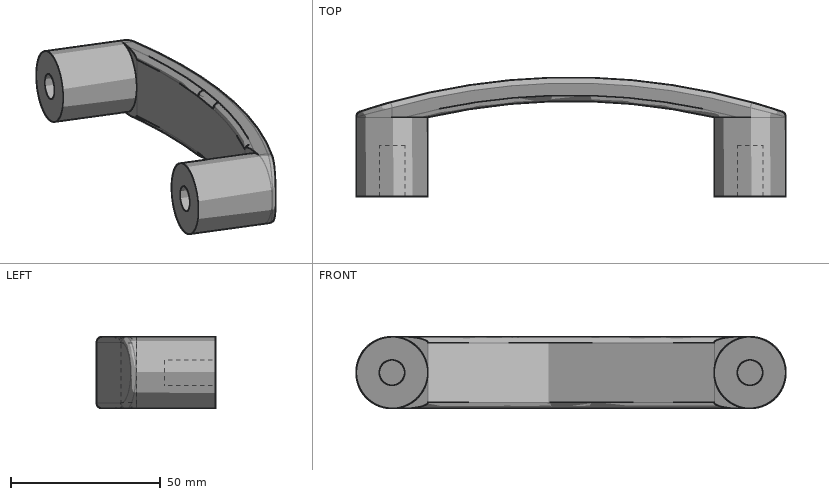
import cadquery as cq
import math

length = 144.0
depth = 40.0
width = 24.0
crown_radius = 223.2
bar_thickness = 8.0
edge_radius = 1.9
grip_edge_radius = 2.0
hole_diameter = 8.5
hole_depth = 17.3

post_radius = width / 2
post_x = length / 2 - post_radius
grip_half_length = post_x - post_radius
arc_center_y = depth - crown_radius
grip_radius = crown_radius - bar_thickness


def arc_y(radius, x):
    """Height of a bow arc above the mounting face at a given x."""
    return arc_center_y + math.sqrt(radius**2 - x**2)


def make_bow():
    """Curved bar with round ends and flat seats above the posts."""
    half = length / 2
    crown_end_y = arc_y(crown_radius, half)
    seat_y = arc_y(grip_radius, grip_half_length)
    profile = (
        cq.Workplane("XY")
        .moveTo(-half, seat_y)
        .lineTo(-half, crown_end_y)
        .threePointArc((0, depth), (half, crown_end_y))
        .lineTo(half, seat_y)
        .lineTo(grip_half_length, seat_y)
        .threePointArc((0, depth - bar_thickness), (-grip_half_length, seat_y))
        .close()
        .extrude(width / 2, both=True)
    )
    rounded_outline = cq.Workplane("XZ").slot2D(length, width).extrude(-depth)
    bow = profile.intersect(rounded_outline)
    crown_face = cq.selectors.NearestToPointSelector((0, depth, 0))
    grip_face = cq.selectors.NearestToPointSelector((0, depth - bar_thickness, 0))
    bow = bow.faces(crown_face).edges().fillet(edge_radius)
    return bow.faces(grip_face).edges("not |Z").fillet(grip_edge_radius)


def make_posts():
    """Round posts running from the mounting face to the bow seats."""
    seat_y = arc_y(grip_radius, grip_half_length)
    return (
        cq.Workplane("XZ")
        .pushPoints([(-post_x, 0), (post_x, 0)])
        .circle(post_radius)
        .extrude(-seat_y)
    )


def make_holes():
    """Blind mounting holes on the post axes."""
    return (
        cq.Workplane("XZ")
        .pushPoints([(-post_x, 0), (post_x, 0)])
        .circle(hole_diameter / 2)
        .extrude(-hole_depth)
    )


result = make_bow().union(make_posts()).cut(make_holes())